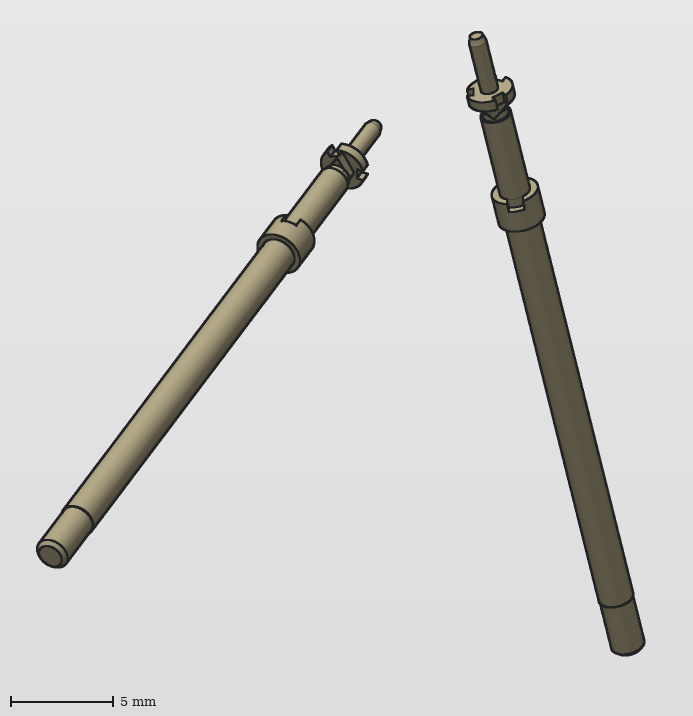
import cadquery as cq
import math

overall_length = 36.2

head_face_radius = 0.6
head_radius = 0.85
head_end = 3.0
rod_radius = 0.87
collar_radius = 1.15
collar_start = 25.4
collar_end = 27.05
barrel_radius = 0.75
neck_radius = 0.65
neck_start = 31.55
hub_start = 31.95
flange_start = 32.5
flange_end = 33.05
pin_radius = 0.45
pin_chamfer_length = 0.35
pin_chamfer_depth = 0.1

keyway_width = 0.8
keyway_length = 0.47

hub_half_height = 1.05
hub_tip_rounding = 0.07
hub_tip_half_angle = math.radians(30)

slot_count = 3
slot_width = 0.58
slot_floor_radius = 0.8


def turned_body():
    """Revolved pin, neck, barrel, collar, rod and head, with the pin reaching down to the hub."""
    head_chamfer = head_radius - head_face_radius
    outline = [
        (0, 0),
        (head_face_radius, 0),
        (head_radius, head_chamfer),
        (head_radius, head_end),
        (rod_radius, head_end),
        (rod_radius, collar_start),
        (collar_radius, collar_start),
        (collar_radius, collar_end),
        (barrel_radius, collar_end),
        (barrel_radius, neck_start),
        (neck_radius, neck_start),
        (neck_radius, hub_start),
        (pin_radius, hub_start),
        (pin_radius, overall_length - pin_chamfer_length),
        (pin_radius - pin_chamfer_depth, overall_length),
        (0, overall_length),
    ]
    return cq.Workplane("XY").polyline(outline).close().revolve(360, (0, 0, 0), (0, 1, 0))


def plane_at(y):
    """Sketch plane across the axis, facing +Y, with its local x pointing along -X."""
    return cq.Workplane(cq.Plane(origin=(0, y, 0), xDir=(-1, 0, 0), normal=(0, 1, 0)))


def collar_keyway():
    """Slots on the +Z and -Z sides of the collar, stopping at the barrel surface."""
    start = collar_end - keyway_length
    bar = plane_at(start).rect(keyway_width, 2 * collar_radius).extrude(keyway_length)
    core = plane_at(start).circle(barrel_radius).extrude(keyway_length)
    return bar.cut(core)


def diamond_hub():
    """Diamond prism between the neck and the flange, with its sharp +Z and -Z edges rounded."""
    rounding_loss = hub_tip_rounding * (1 / math.sin(hub_tip_half_angle) - 1)
    sharp_half_height = hub_half_height + rounding_loss
    half_width = sharp_half_height * math.tan(hub_tip_half_angle)
    corners = [
        (0, sharp_half_height),
        (half_width, 0),
        (0, -sharp_half_height),
        (-half_width, 0),
    ]
    diamond = plane_at(hub_start).polyline(corners).close().extrude(flange_start - hub_start)
    tip_edges = diamond.edges("|Y").edges(">Z or <Z")
    return tip_edges.fillet(hub_tip_rounding)


def slotted_flange():
    """Round flange with equally spaced slots in its rim, the first facing +X."""
    thickness = flange_end - flange_start
    flange = plane_at(flange_start).circle(collar_radius).extrude(thickness)
    slot = (
        plane_at(flange_start)
        .center(-slot_floor_radius - collar_radius / 2, 0)
        .rect(collar_radius, slot_width)
        .extrude(thickness)
    )
    for i in range(slot_count):
        flange = flange.cut(slot.rotate((0, 0, 0), (0, 1, 0), i * 360 / slot_count))
    return flange


result = turned_body().cut(collar_keyway()).union(diamond_hub()).union(slotted_flange())